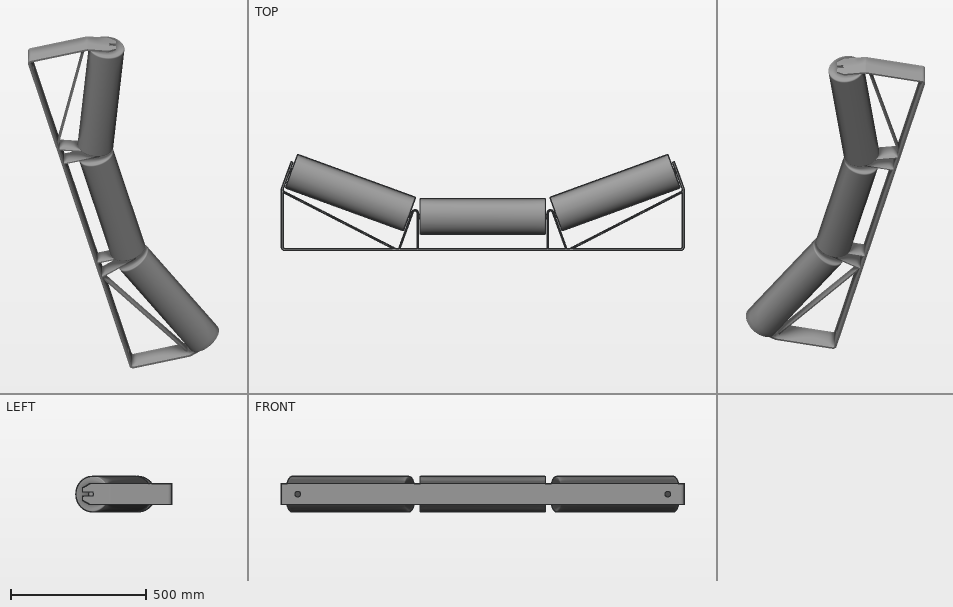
import cadquery as cq
import math

frame_length = 1490.0
strip_thickness = 8.0
strip_width = 77.0
bend_radius = 14.0
tip_above_shaft = 33.0
tip_chamfer_along = 27.0
tip_chamfer_across = 15.0
mounting_hole_diameter = 21.0
mounting_hole_inset = 61.0

roller_diameter = 133.0
roller_length = 465.0
roller_edge_radius = 5.0
roller_end_gap = 5.2
shaft_diameter = 20.0
shaft_across_flats = 14.0
slot_depth = 22.0
middle_roller_y = 127.0
side_roller_x = 489.0
side_roller_y = 215.0
side_roller_tilt = 20.0

bracket_thickness = 5.2
bracket_width = 60.0
bracket_top_y = 152.0

strut_thickness = 6.0
strut_width = 30.0
strut_arm_y = 218.0
strut_base_x = 328.0

tilt = math.radians(side_roller_tilt)
half_roller = roller_length / 2
frame_plate_offset = half_roller + roller_end_gap + strip_thickness / 2
bracket_leg_offset = half_roller + roller_end_gap + bracket_thickness / 2
frame_shaft_end = frame_plate_offset + strip_thickness / 2
bracket_shaft_end = bracket_leg_offset + bracket_thickness / 2
arm_x = frame_length / 2 - strip_thickness / 2
base_y = strip_thickness / 2


def side_point(along, across):
    """Point in the XY plane given along the left roller's axis and square to it."""
    x = -side_roller_x + along * math.cos(tilt) + across * math.sin(tilt)
    y = side_roller_y - along * math.sin(tilt) + across * math.cos(tilt)
    return (x, y)


def at_left_roller(shape):
    """Move a shape built around the X axis onto the tilted left roller's axis."""
    turned = shape.rotate((0, 0, 0), (0, 0, 1), -side_roller_tilt)
    return turned.translate((-side_roller_x, side_roller_y, 0))


def at_middle_roller(shape):
    return shape.translate((0, middle_roller_y, 0))


def mirrored(shape):
    return shape.mirror("YZ")


def offset_path(path, distance):
    """Corner points of a path shifted to its left, with mitred corners."""
    headings = [math.atan2(b[1] - a[1], b[0] - a[0]) for a, b in zip(path, path[1:])]
    points = []
    for i, (x, y) in enumerate(path):
        before = headings[max(i - 1, 0)]
        after = headings[min(i, len(headings) - 1)]
        normal = (before + after + math.pi) / 2
        reach = distance / math.cos((after - before) / 2)
        points.append((x + reach * math.cos(normal), y + reach * math.sin(normal)))
    return points


def bent_strip(path, outer_radius, thickness, width):
    """Strip following a centre-line path that always bends to its left or always to its right."""
    left = offset_path(path, thickness / 2)
    right = offset_path(path, -thickness / 2)
    strip = cq.Workplane("XY").polyline(left + right[::-1]).close()
    strip = strip.extrude(width / 2, both=True)
    turn = (path[1][0] - path[0][0]) * (path[2][1] - path[1][1])
    turn -= (path[1][1] - path[0][1]) * (path[2][0] - path[1][0])
    inner, outer = (left, right) if turn > 0 else (right, left)
    for corners, radius in ((inner, outer_radius - thickness), (outer, outer_radius)):
        for x, y in corners[1:-1]:
            edge = strip.edges(cq.selectors.NearestToPointSelector((x, y, 0)))
            strip = edge.fillet(radius)
    return strip


def shaft_bar(start, length):
    """Round bar along X with a flat on its upper and lower Z sides."""
    bar = cq.Workplane("YZ", origin=(start, 0, 0)).circle(shaft_diameter / 2).extrude(length)
    flats = cq.Workplane("XY", origin=(start + length / 2, 0, 0))
    flats = flats.box(length, shaft_diameter, shaft_across_flats)
    return bar.intersect(flats)


def roller(left_shaft_end, right_shaft_end):
    """Roller centred on the X axis, with its shaft ending at the given distances either side."""
    body = cq.Workplane("YZ", origin=(-half_roller, 0, 0)).circle(roller_diameter / 2)
    body = body.extrude(roller_length).edges("%CIRCLE").fillet(roller_edge_radius)
    return body.union(shaft_bar(-left_shaft_end, left_shaft_end + right_shaft_end))


def shaft_slot(end):
    """Cutter for the open slot that holds the shaft at one end (-1 or 1) of a roller."""
    start = half_roller if end > 0 else -half_roller - slot_depth
    opening = cq.Workplane("XY", origin=(start, 0, 0))
    opening = opening.box(slot_depth, roller_diameter, shaft_across_flats, centered=(False, False, True))
    return shaft_bar(start, slot_depth).union(opening)


def tip_trim():
    """Cutter that takes the two upper corners off the frame plate beside the left roller."""
    trim = cq.Workplane("YZ", origin=(-frame_plate_offset, 0, 0))
    for z_side in (-1, 1):
        edge_z = z_side * strip_width / 2
        trim = trim.polyline([
            (tip_above_shaft, edge_z),
            (tip_above_shaft - tip_chamfer_along, edge_z),
            (tip_above_shaft, edge_z - z_side * tip_chamfer_across),
        ]).close()
    return trim.extrude(strip_thickness, both=True)


def frame():
    tip = side_point(-frame_plate_offset, tip_above_shaft)
    knee = (-arm_x, tip[1] - (tip[0] + arm_x) / math.tan(tilt))
    left_half = [tip, knee, (-arm_x, base_y)]
    right_half = [(-x, y) for x, y in reversed(left_half)]
    body = bent_strip(left_half + right_half, bend_radius, strip_thickness, strip_width)

    hole_x = frame_length / 2 - mounting_hole_inset
    holes = cq.Workplane("XZ").pushPoints([(-hole_x, 0), (hole_x, 0)])
    holes = holes.circle(mounting_hole_diameter / 2).extrude(-strip_thickness)

    plate_cut = at_left_roller(shaft_slot(-1).union(tip_trim()))
    return body.cut(holes).cut(plate_cut).cut(mirrored(plate_cut))


def left_bracket():
    """Strip folded over a tight bend, one leg upright and one square to the left roller."""
    upright_x = -bracket_leg_offset
    seat_x, seat_y = side_point(bracket_leg_offset, 0)
    foot_x = seat_x - seat_y * math.tan(tilt)
    apex_y = (upright_x - foot_x) / math.tan(tilt)
    outer_apex_y = apex_y + bracket_thickness / 2 / math.tan(tilt / 2)
    outer_radius = (outer_apex_y - bracket_top_y) / (1 / math.tan(tilt / 2) - 1)
    path = [(foot_x, 0), (upright_x, apex_y), (upright_x, 0)]
    body = bent_strip(path, outer_radius, bracket_thickness, bracket_width)
    base = cq.Workplane("XY").box(frame_length, 2 * strip_thickness, 2 * strip_width)
    body = body.cut(base)
    body = body.cut(at_left_roller(shaft_slot(1)))
    return body.cut(at_middle_roller(shaft_slot(-1)))


def left_strut():
    """Flat bar whose ends are cut to lie on the arm and on the base."""
    top_x = -frame_length / 2 + strip_thickness
    slope = math.atan2(strut_arm_y - strip_thickness, -strut_base_x - top_x)
    half_top = strut_thickness / 2 / math.cos(slope)
    half_foot = strut_thickness / 2 / math.sin(slope)
    bar = cq.Workplane("XY").polyline([
        (top_x, strut_arm_y - half_top),
        (-strut_base_x - half_foot, strip_thickness),
        (-strut_base_x + half_foot, strip_thickness),
        (top_x, strut_arm_y + half_top),
    ]).close()
    return bar.extrude(strut_width / 2, both=True)


middle_roller = at_middle_roller(roller(bracket_shaft_end, bracket_shaft_end))
left_roller = at_left_roller(roller(frame_shaft_end, bracket_shaft_end))

bodies = [frame().val(), middle_roller.val()]
for left_body in (left_roller, left_bracket(), left_strut()):
    bodies += [left_body.val(), mirrored(left_body).val()]

result = cq.Compound.makeCompound(bodies)